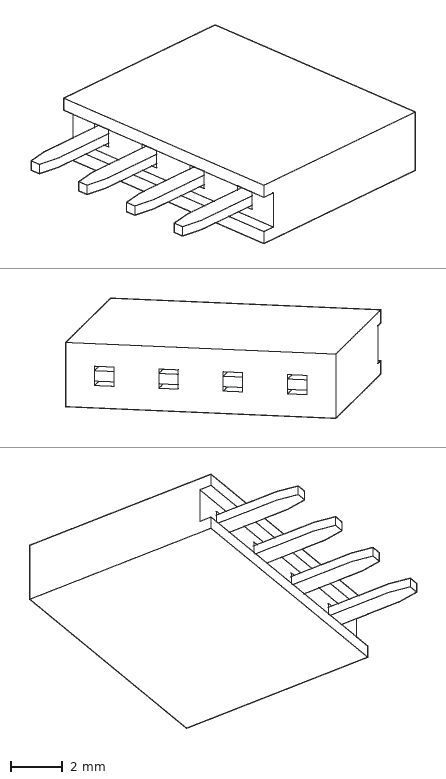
import cadquery as cq


total_length = 11.71
housing_width = 10.67
housing_height = 2.54

pin_count = 4
pin_pitch = 2.54
pin_width = 0.76
pin_thickness = 0.41
pin_exposed_length = 3.2
tip_length = 0.9
tip_width = 0.45

channel_depth = 0.53
channel_height = 1.49
hole_size = pin_width

housing_length = total_length - pin_exposed_length
tip_end_y = -pin_exposed_length
tip_start_y = tip_end_y + tip_length
first_pin_x = -pin_pitch * (pin_count - 1) / 2
pin_positions = [first_pin_x + i * pin_pitch for i in range(pin_count)]


def make_block(width, length, height, x=0.0):
    """Box centred on x and on Z = 0, running from Y = 0 toward +Y."""
    return cq.Workplane("XY").box(width, length, height, centered=(True, False, True)).translate((x, 0, 0))


def make_housing():
    """Block with a channel along its front edge and a through hole for each pin."""
    body = make_block(housing_width, housing_length, housing_height)
    body = body.cut(make_block(housing_width, channel_depth, channel_height))
    for x in pin_positions:
        body = body.cut(make_block(hole_size, housing_length, hole_size, x))
    return body


def make_pin(x):
    """Flat pin with a tapered tip, ending flush with the back of the housing."""
    outline = [
        (-pin_width / 2, housing_length),
        (-pin_width / 2, tip_start_y),
        (-tip_width / 2, tip_end_y),
        (tip_width / 2, tip_end_y),
        (pin_width / 2, tip_start_y),
        (pin_width / 2, housing_length),
    ]
    pin = cq.Workplane("XY").polyline(outline).close().extrude(pin_thickness / 2, both=True)
    return pin.translate((x, 0, 0))


housing = make_housing()
pins = [make_pin(x) for x in pin_positions]

result = cq.Compound.makeCompound([housing.val(), *[pin.val() for pin in pins]])